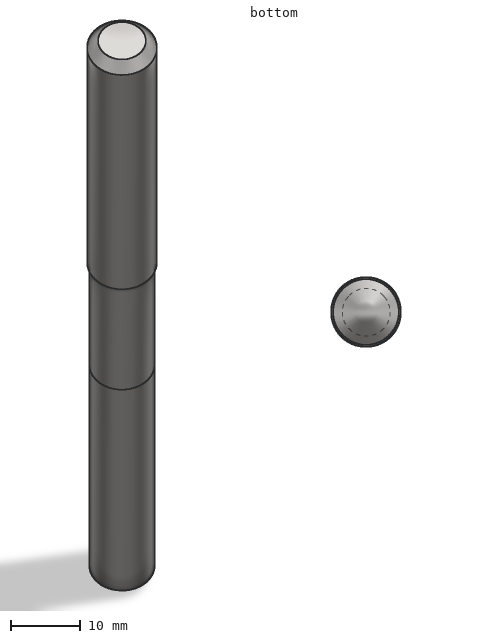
import cadquery as cq
import math

total_length = 122.7
shank_diameter = 10.0
body_diameter = 9.5

cutting_length = 48.1
shank_start = 71.7

point_angle = 140.0
chamfer_height = 1.6
chamfer_width = 1.6

shank_radius = shank_diameter / 2
body_radius = body_diameter / 2
point_height = body_radius / math.tan(math.radians(point_angle / 2))


def revolve_profile(points):
    """Turn a closed half profile of (radius, height) points about the Z axis."""
    return cq.Workplane("XZ").polyline(points).close().revolve(360, (0, 0, 0), (0, 1, 0))


def make_cutting_part():
    """Cylindrical cutting part with a conical point."""
    return revolve_profile([
        (0, 0),
        (body_radius, point_height),
        (body_radius, cutting_length),
        (0, cutting_length),
    ])


def make_holder():
    """Neck and wider shank, chamfered at the top."""
    return revolve_profile([
        (0, cutting_length),
        (body_radius, cutting_length),
        (body_radius, shank_start),
        (shank_radius, shank_start),
        (shank_radius, total_length - chamfer_height),
        (shank_radius - chamfer_width, total_length),
        (0, total_length),
    ])


cutting_part = make_cutting_part()
holder = make_holder()

result = cq.Compound.makeCompound([cutting_part.val(), holder.val()])